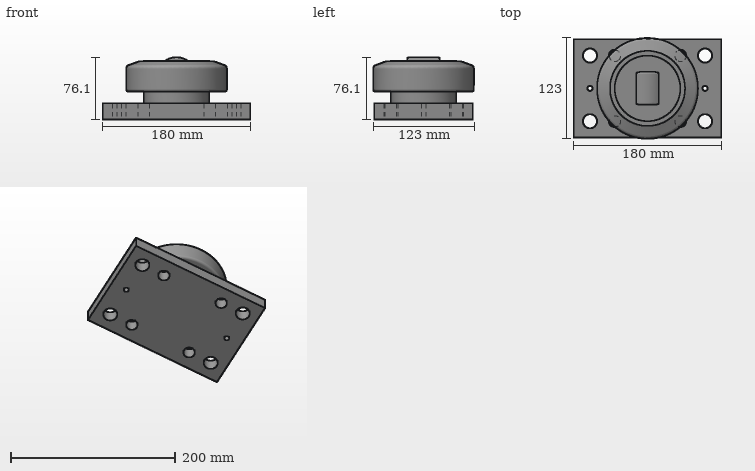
import cadquery as cq
import math

plate_length = 180.0
plate_width = 120.0
plate_height = 20.0

mount_hole_diameter = 17.0
inner_hole_diameter = 13.9
pin_hole_diameter = 6.0
hole_x = 70.0
inner_hole_x = 40.0
hole_y = 40.0

stem_diameter = 80.0
stem_top = 71.6
roller_diameter = 123.0
roller_bottom = 34.0
roller_top = 71.1
roller_flat_diameter = 91.5
cone_angle = 20.0
shoulder_fillet = 4.7
bottom_fillet = 3.0

axial_roller_diameter = 46.8
axial_roller_length = 40.0
axial_roller_fillet = 2.5
total_height = 76.1


def make_plate():
    mount_points = [(x, y) for x in (-hole_x, hole_x) for y in (-hole_y, hole_y)]
    inner_points = [(x, y) for x in (-inner_hole_x, inner_hole_x) for y in (-hole_y, hole_y)]
    pin_points = [(-hole_x, 0), (hole_x, 0)]
    plate = cq.Workplane("XY").box(plate_length, plate_width, plate_height, centered=(True, True, False))
    for points, diameter in (
        (mount_points, mount_hole_diameter),
        (inner_points, inner_hole_diameter),
        (pin_points, pin_hole_diameter),
    ):
        plate = plate.cut(cq.Workplane("XY").pushPoints(points).circle(diameter / 2).extrude(plate_height))
    return plate


def make_stem():
    return cq.Workplane("XY").workplane(offset=plate_height).circle(stem_diameter / 2).extrude(
        stem_top - plate_height
    )


def make_main_roller():
    radius = roller_diameter / 2
    flat_radius = roller_flat_diameter / 2
    cone_drop = (radius - flat_radius) * math.tan(math.radians(cone_angle))
    shoulder_z = roller_top - cone_drop
    profile = [
        (0, roller_bottom),
        (radius, roller_bottom),
        (radius, shoulder_z),
        (flat_radius, roller_top),
        (0, roller_top),
    ]
    roller = cq.Workplane("XZ").polyline(profile).close().revolve(360, (0, 0), (0, 1))
    roller = roller.faces("%CONE").edges("<Z").fillet(shoulder_fillet)
    return roller.faces("<Z").edges().fillet(bottom_fillet)


def make_axial_roller():
    radius = axial_roller_diameter / 2
    return (
        cq.Workplane("XZ")
        .center(0, total_height - radius)
        .circle(radius)
        .extrude(axial_roller_length / 2, both=True)
        .edges("%CIRCLE")
        .fillet(axial_roller_fillet)
    )


result = make_plate().union(make_stem()).union(make_main_roller()).union(make_axial_roller())